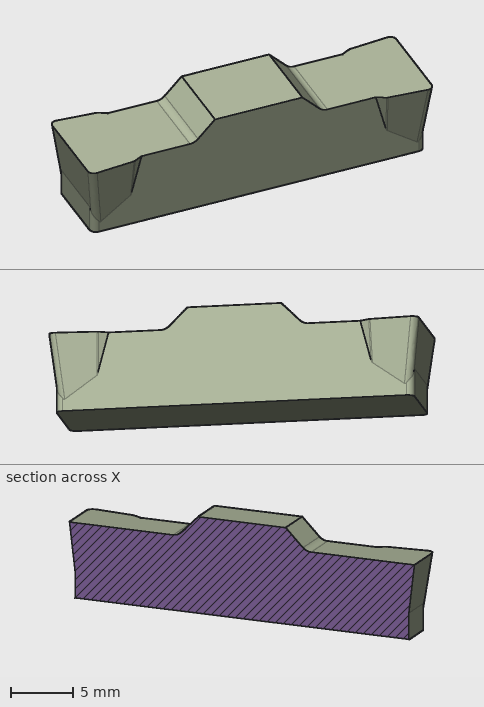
import cadquery as cq
import math

length = 30.1
shank_width = 6.62
shank_length = 29.13
shank_corner_radius = 0.57
height = 8.1
seat_height = 6.32
block_top_length = 7.65
block_slope_angle = 45.0
block_foot_radius = 1.0

head_width = 8.15
head_corner_radius = 0.55
side_length = 4.0
side_angle = 5.0
front_relief = 0.75
side_relief = 0.78
ridge_shift = 0.2
ridge_radius = 0.3
shoulder_run = 0.8
shoulder_rise = 0.42
shoulder_overlap = 0.9

pick_margin = 0.3


def make_shank():
    half_length = shank_length / 2
    half_top = block_top_length / 2
    slope_run = (height - seat_height) / math.tan(math.radians(block_slope_angle))
    half_foot = half_top + slope_run
    profile = [
        (-half_length, 0),
        (half_length, 0),
        (half_length, seat_height),
        (half_foot, seat_height),
        (half_top, height),
        (-half_top, height),
        (-half_foot, seat_height),
        (-half_length, seat_height),
    ]
    shank = cq.Workplane("YZ").polyline(profile).close().extrude(shank_width / 2, both=True)
    shank = shank.edges("|Z").fillet(shank_corner_radius)
    feet = cq.selectors.BoxSelector(
        (-shank_width, -half_foot - pick_margin, seat_height - pick_margin),
        (shank_width, half_foot + pick_margin, seat_height + pick_margin),
    )
    return shank.edges("|X").edges(feet).fillet(block_foot_radius)


def head_outline(front_inset, side_inset, ridge_inset):
    """Plan outline of the head at +Y, for given inward shifts of its faces."""
    side_slope = math.tan(math.radians(side_angle))
    end_y = length / 2
    front_y = end_y - front_inset
    front_x = head_width / 2 - side_inset - side_slope * front_inset
    ridge_y = end_y - side_length + ridge_inset
    ridge_x = head_width / 2 - side_inset - side_slope * (side_length - ridge_inset)
    reach = shoulder_rise + shoulder_overlap
    back_x = ridge_x - reach
    back_y = ridge_y - reach * shoulder_run / shoulder_rise
    right_side = [(front_x, front_y), (ridge_x, ridge_y), (back_x, back_y)]
    left_side = [(-x, y) for x, y in reversed(right_side)]
    return right_side + left_side


def make_head():
    head = (
        cq.Workplane("XY")
        .polyline(head_outline(front_relief, side_relief, ridge_shift)).close()
        .workplane(offset=seat_height)
        .polyline(head_outline(0, 0, 0)).close()
        .loft(ruled=True)
    )
    slanted_edges = head.edges("not #Z").edges(">>Y[-1]")
    head = head.newObject(slanted_edges.vals()).fillet(head_corner_radius)
    ridge_zone = cq.selectors.BoxSelector(
        (-head_width, length / 2 - side_length - pick_margin, seat_height / 3),
        (head_width, length / 2 - side_length + ridge_shift + pick_margin, seat_height * 2 / 3),
    )
    return head.edges(ridge_zone).fillet(ridge_radius)


head = make_head()
result = make_shank().union(head).union(head.mirror("XZ"))